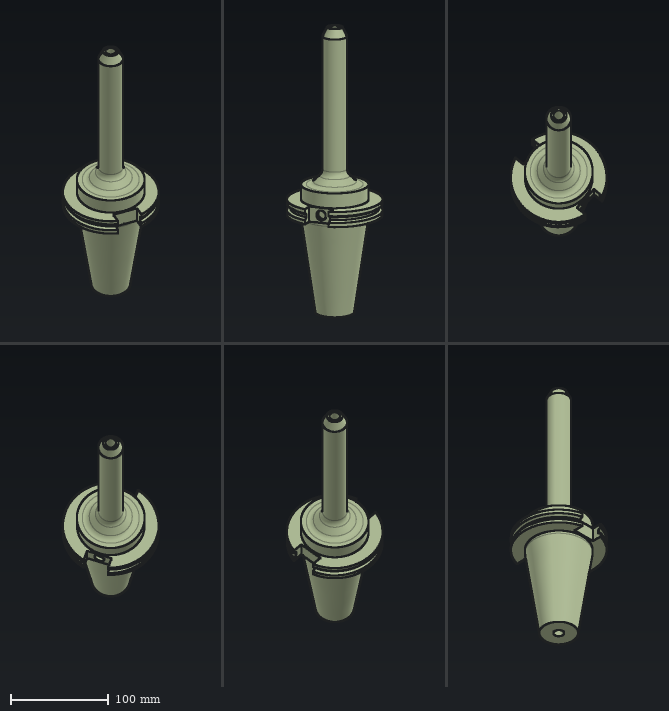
import cadquery as cq
import math

total_height = 304.8
taper_length = 101.5
taper_slope = 7 / 24 / 2
taper_top_diameter = 69.8
taper_top_radius = taper_top_diameter / 2
taper_bottom_radius = taper_top_radius - taper_length * taper_slope

flange_radius = 49.5
flange_bottom = 105.0
flange_top = 121.0
groove_floor_radius = 45.7
groove_floor_height = 3.0
groove_middle = (flange_bottom + flange_top) / 2
groove_half_angle = math.radians(30)

collar_radius = taper_top_radius
collar_top = 137.0
nose_radius = 12.8
blend_radius = 10.0
blend_angle = math.radians(45)
blend_top = 153.3
tip_radius = 8.0
tip_height = 9.8

bore_radius = 5.5
slot_width = 26.5
slot_wall_x = 36.3
blind_hole_radius = 5.2
blind_hole_depth = 4.5
blind_hole_z = groove_middle


def make_body():
    """Revolve the stepped half profile around Z."""
    groove_depth = flange_radius - groove_floor_radius
    floor_half = groove_floor_height / 2
    mouth_half = floor_half + groove_depth * math.tan(groove_half_angle)

    arc_end = blend_radius * math.sin(blend_angle)
    arc_rise = blend_radius - arc_end
    mid_along = blend_radius * math.sin(blend_angle / 2)
    mid_rise = blend_radius * (1 - math.cos(blend_angle / 2))
    cone_top_radius = nose_radius + arc_rise
    cone_top = blend_top - arc_end
    cone_bottom = collar_top + arc_rise
    cone_bottom_radius = cone_top_radius + cone_top - cone_bottom
    blend_foot_radius = cone_bottom_radius + arc_end

    return (
        cq.Workplane("XZ")
        .moveTo(0, 0)
        .lineTo(taper_bottom_radius, 0)
        .lineTo(taper_top_radius, taper_length)
        .lineTo(taper_top_radius, flange_bottom)
        .lineTo(flange_radius, flange_bottom)
        .lineTo(flange_radius, groove_middle - mouth_half)
        .lineTo(groove_floor_radius, groove_middle - floor_half)
        .lineTo(groove_floor_radius, groove_middle + floor_half)
        .lineTo(flange_radius, groove_middle + mouth_half)
        .lineTo(flange_radius, flange_top)
        .lineTo(collar_radius, flange_top)
        .lineTo(collar_radius, collar_top)
        .lineTo(blend_foot_radius, collar_top)
        .threePointArc(
            (blend_foot_radius - mid_along, collar_top + mid_rise),
            (cone_bottom_radius, cone_bottom),
        )
        .lineTo(cone_top_radius, cone_top)
        .threePointArc(
            (nose_radius + mid_rise, blend_top - mid_along),
            (nose_radius, blend_top),
        )
        .lineTo(nose_radius, total_height - tip_height)
        .lineTo(tip_radius, total_height)
        .lineTo(0, total_height)
        .close()
        .revolve(360, (0, 0, 0), (0, 1, 0))
    )


def make_drive_slot(side):
    """Box that cuts the flange on the +X (side = 1) or -X (side = -1) side."""
    slot_depth = flange_radius - slot_wall_x
    slot_box = cq.Workplane("XY").box(slot_depth, slot_width, flange_top - flange_bottom)
    return slot_box.translate((side * (slot_wall_x + slot_depth / 2), 0, groove_middle))


def make_blind_hole():
    """Radial hole sunk into the wall of the -X slot."""
    return (
        cq.Workplane("YZ", origin=(-slot_wall_x, 0, blind_hole_z))
        .circle(blind_hole_radius)
        .extrude(blind_hole_depth)
    )


bore = cq.Workplane("XY").circle(bore_radius).extrude(total_height)

result = make_body().cut(bore)
for slot_side in (-1, 1):
    result = result.cut(make_drive_slot(slot_side))
result = result.cut(make_blind_hole())